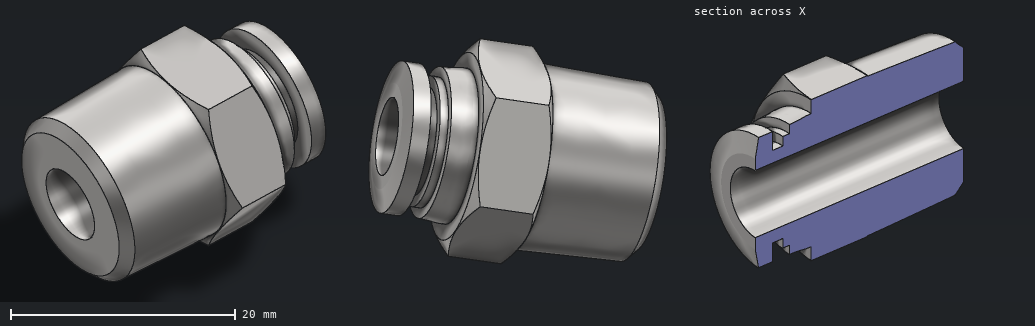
import cadquery as cq
import math

total_length = 23.9
bore_radius = 3.51

shank_tip_radius = 7.07
shank_small_radius = 8.1
shank_large_radius = 8.44
shank_chamfer_length = 0.98

hex_start = 11.02
hex_end = 17.5
hex_across_flats = 17.0
hex_across_corners = hex_across_flats / math.cos(math.pi / 6)
hex_chamfer_angle = 30.0
hex_face_radius = 8.45

collar_radius = 7.03
collar_end_radius = 6.85
collar_taper_start = 18.0
collar_end = 19.98
step_radius = 5.9
step_end = 20.75

neck_radius = 4.9
button_start = 21.9
button_radius = 6.88
button_chamfer_start = 23.52
button_face_radius = 4.78


def revolve_about_y(outline):
    """Turn a closed (radius, y) outline about the Y axis."""
    return cq.Workplane("XY").polyline(outline).close().revolve(360, (0, 0, 0), (0, 1, 0))


def make_turned_body():
    """Shank, collar, neck and button, with the bore left open."""
    return revolve_about_y([
        (bore_radius, 0),
        (shank_tip_radius, 0),
        (shank_small_radius, shank_chamfer_length),
        (shank_large_radius, hex_start),
        (shank_large_radius, hex_end),
        (collar_radius, hex_end),
        (collar_radius, collar_taper_start),
        (collar_end_radius, collar_end),
        (step_radius, collar_end),
        (step_radius, step_end),
        (neck_radius, step_end),
        (neck_radius, button_start),
        (button_radius, button_start),
        (button_radius, button_chamfer_start),
        (button_face_radius, total_length),
        (bore_radius, total_length),
    ])


def make_hexagon():
    """Hexagon with corners on X, its corners chamfered conically at both ends."""
    prism = (
        cq.Workplane("XZ", origin=(0, hex_start, 0))
        .polygon(6, hex_across_corners)
        .extrude(hex_start - hex_end)
    )
    envelope_radius = hex_across_corners / 2
    chamfer_drop = (envelope_radius - hex_face_radius) * math.tan(math.radians(hex_chamfer_angle))
    envelope = revolve_about_y([
        (bore_radius, hex_start),
        (hex_face_radius, hex_start),
        (envelope_radius, hex_start + chamfer_drop),
        (envelope_radius, hex_end - chamfer_drop),
        (hex_face_radius, hex_end),
        (bore_radius, hex_end),
    ])
    return prism.intersect(envelope)


result = make_turned_body().union(make_hexagon())